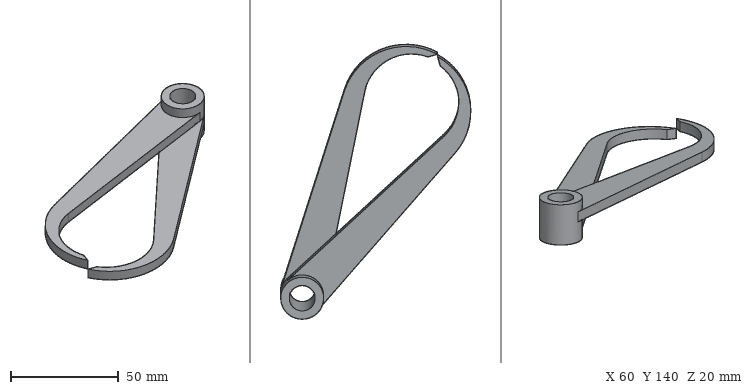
import cadquery as cq
import math


pivot_radius = 10.0
bore_radius = 6.0
pivot_height = 20.0

leg_thickness = 5.0
outer_bow_radius = 30.0
outer_bow_y = -100.0
inner_bow_radius = 22.0
inner_bow_y = -105.0
mid_plane_z = pivot_height / 2
tip_y = outer_bow_y - outer_bow_radius


def point_on_circle(center_y, radius, angle):
    """Point on a circle centred on the Y axis, with the angle measured from +X."""
    return (radius * math.cos(angle), center_y + radius * math.sin(angle))


def tip_bevel_end():
    """Where the 45 degree bevel that rises from the tip toward -X meets the inner bow."""
    rise = inner_bow_y - tip_y
    offset = (rise - math.sqrt(2 * inner_bow_radius**2 - rise**2)) / 2
    return (-offset, tip_y + offset)


def make_pivot():
    return cq.Workplane("XY").circle(pivot_radius).circle(bore_radius).extrude(pivot_height)


def make_left_leg():
    """Leg on the -X side, standing on Z = 0, with both straight edges tangent to the pivot."""
    outer_lean = math.asin((outer_bow_radius - pivot_radius) / -outer_bow_y)
    outer_angle = math.pi - outer_lean
    outer_top = point_on_circle(0, pivot_radius, outer_angle)
    outer_bottom = point_on_circle(outer_bow_y, outer_bow_radius, outer_angle)

    inner_lean = math.asin((inner_bow_radius + pivot_radius) / -inner_bow_y)
    inner_top = point_on_circle(0, pivot_radius, -inner_lean)
    inner_bottom = point_on_circle(inner_bow_y, inner_bow_radius, math.pi - inner_lean)

    lower_left = math.radians(225)
    outer_bow_middle = point_on_circle(outer_bow_y, outer_bow_radius, lower_left)
    inner_bow_middle = point_on_circle(inner_bow_y, inner_bow_radius, lower_left)

    return (
        cq.Workplane("XY")
        .moveTo(*outer_top)
        .lineTo(*outer_bottom)
        .threePointArc(outer_bow_middle, (0, tip_y))
        .lineTo(*tip_bevel_end())
        .threePointArc(inner_bow_middle, inner_bottom)
        .lineTo(*inner_top)
        .threePointArc((0, -pivot_radius), outer_top)
        .close()
        .extrude(leg_thickness)
    )


pivot = make_pivot()
upper_leg = make_left_leg().translate((0, 0, mid_plane_z))
lower_leg = make_left_leg().mirror("YZ").translate((0, 0, mid_plane_z - leg_thickness))

result = cq.Compound.makeCompound([pivot.val(), upper_leg.val(), lower_leg.val()])